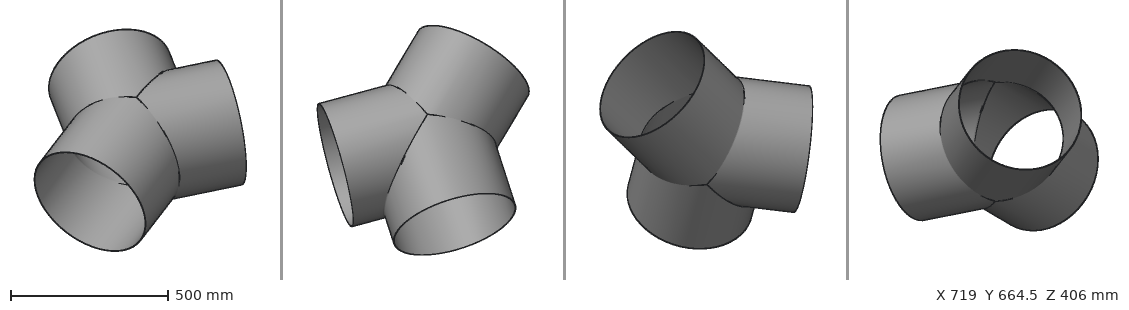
import cadquery as cq
import math

overall_width = 719.0
outer_diameter = 406.0
inner_diameter = 400.0
inlet_length = 305.0
branch_angle = 45.0
seam_radius = 4.0
join_tolerance = 0.001

outer_radius = outer_diameter / 2
inner_radius = inner_diameter / 2
seam_centre_radius = outer_radius + seam_radius

branch_tilt = math.radians(branch_angle)
branch_length = (overall_width / 2 - outer_radius * math.cos(branch_tilt)) / math.sin(branch_tilt)

legs = [
    (-branch_angle, branch_length),
    (branch_angle, branch_length),
    (180.0, inlet_length),
]
seams = [
    (-branch_angle, 2 * branch_angle),
    (branch_angle, 180.0 - branch_angle),
    (180.0, 180.0 - branch_angle),
]


def direction(heading):
    """Unit vector in the XY plane for a heading in degrees."""
    turn = math.radians(heading)
    return cq.Vector(math.sin(turn), math.cos(turn), 0)


def sector(first_heading, last_heading):
    """Upright triangular prism between two headings, with one edge on the Z axis."""
    side = 4 * overall_width
    corners = [(direction(heading) * side).toTuple()[:2] for heading in (first_heading, last_heading)]
    return cq.Workplane("XY").polyline([(0, 0)] + corners).close().extrude(overall_width, both=True)


def touch_angle(spread, radius):
    """Angle from a leg's axis to the upright plane where a seam rounding touches that leg."""
    distance_along_axis = seam_centre_radius / math.tan(math.radians(spread / 2))
    return math.degrees(math.atan2(radius, distance_along_axis))


def trimmed_leg(index, radius):
    """Solid round leg, cut off where the seam roundings on its two sides begin."""
    heading, length = legs[index]
    axis = direction(heading)
    overrun = 2 * radius
    leg = cq.Workplane(cq.Solid.makeCylinder(radius, length + overrun, axis * -overrun, axis))
    first_heading = heading - touch_angle(seams[index - 1][1], radius)
    last_heading = heading + touch_angle(seams[index][1], radius)
    return leg.intersect(sector(first_heading, last_heading))


def seam_bend(start, spread, radius):
    """Solid slice between two legs, with a concave rounding that runs into both of them."""
    middle = start + spread / 2
    touch = touch_angle(spread, radius)
    gap = sector(start + touch, start + spread - touch)

    long_axis = seam_centre_radius / math.sin(math.radians(spread / 2))
    mitre = cq.Plane((0, 0, 0), direction(middle).toTuple(), direction(middle + 90).toTuple())
    ellipse = cq.Workplane(mitre).ellipse(long_axis, seam_centre_radius)
    plug = ellipse.extrude(2 * radius, both=True)
    section = cq.Plane((direction(middle) * long_axis).toTuple(), direction(middle).toTuple(), (0, 0, 1))
    roll = cq.Workplane(section).circle(seam_centre_radius - radius).sweep(ellipse)
    return gap.intersect(plug).cut(roll)


def solid_junction(radius):
    """Three solid legs of one radius joined by rounded seams."""
    pieces = [trimmed_leg(index, radius) for index in range(len(legs))]
    pieces += [seam_bend(start, spread, radius) for start, spread in seams]
    body = pieces[0]
    for piece in pieces[1:]:
        body = body.union(piece, tol=join_tolerance)
    return body


result = solid_junction(outer_radius).cut(solid_junction(inner_radius))